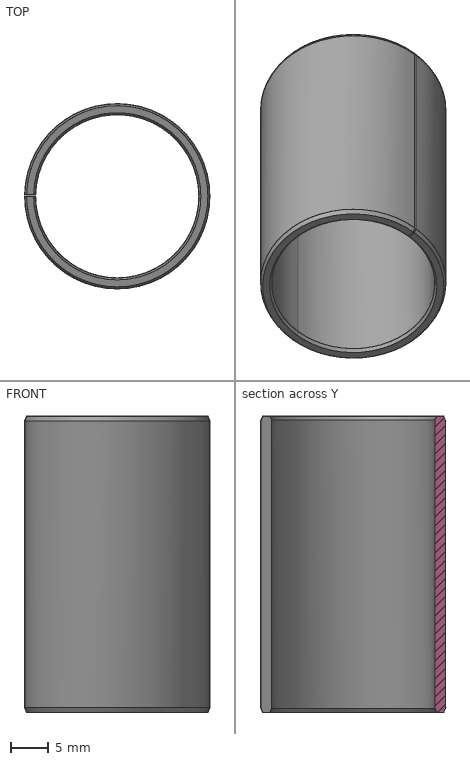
import cadquery as cq

length = 40.0
outer_diameter = 25.0
wall = 1.5
outer_chamfer_width = 0.3
outer_chamfer_height = 0.7
inner_chamfer_width = 0.3
inner_chamfer_height = 0.5
slit_width = 0.2

outer_radius = outer_diameter / 2
inner_radius = outer_radius - wall
half_length = length / 2


def bushing_wall():
    """Revolve the wall section, with both ends chamfered inside and outside."""
    section = (
        cq.Workplane("XZ")
        .moveTo(inner_radius + inner_chamfer_width, -half_length)
        .lineTo(outer_radius - outer_chamfer_width, -half_length)
        .lineTo(outer_radius, -half_length + outer_chamfer_height)
        .lineTo(outer_radius, half_length - outer_chamfer_height)
        .lineTo(outer_radius - outer_chamfer_width, half_length)
        .lineTo(inner_radius + inner_chamfer_width, half_length)
        .lineTo(inner_radius, half_length - inner_chamfer_height)
        .lineTo(inner_radius, -half_length + inner_chamfer_height)
        .close()
    )
    return section.revolve(360, (0, 0, 0), (0, 1, 0))


def slit_cutter():
    """Full-length block that opens the wall on the -X side, with one face on the XZ plane."""
    block = cq.Workplane("XY").box(outer_radius, slit_width, length)
    return block.translate((-outer_radius, slit_width / 2, 0))


result = bushing_wall().cut(slit_cutter())